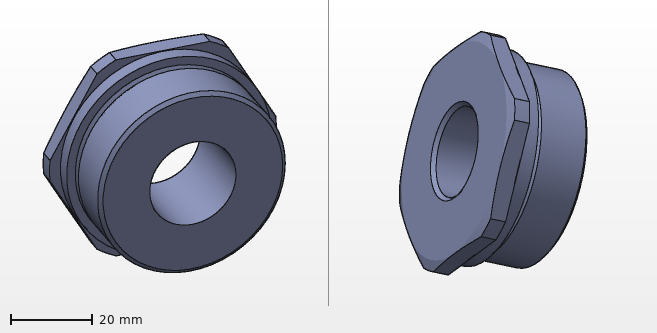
import cadquery as cq
import math

hex_thickness = 4.95
flange_end = 8.95
groove_start = 9.7
groove_end = 9.8
total_length = 24.3

across_flats = 55.0
across_corners = across_flats / math.cos(math.pi / 6)
corner_diameter = 60.5
face_chamfer_depth = 0.8

flange_radius = 27.35
thread_radius = 25.05
groove_depth = 1.2
groove_radius = thread_radius - groove_depth
end_chamfer_length = 0.9
end_chamfer_depth = 1.1

bore_radius = 11.5
bore_chamfer = 1.0


def revolve_about_x(points):
    """Revolve a closed (x, radius) outline around the X axis."""
    return cq.Workplane("XY").polyline(points).close().revolve(360, (0, 0, 0), (1, 0, 0))


def hexagon_head():
    """Hexagon with flats facing +Z and -Z, rounded corners and a chamfered face."""
    hexagon = (
        cq.Workplane("YZ")
        .polygon(6, across_corners)
        .extrude(hex_thickness)
    )
    turned_envelope = revolve_about_x([
        (0, 0),
        (0, across_flats / 2),
        (face_chamfer_depth, corner_diameter / 2),
        (hex_thickness, corner_diameter / 2),
        (hex_thickness, 0),
    ])
    return hexagon.intersect(turned_envelope)


def turned_body():
    """Flange, relief groove and plain thread cylinder with a chamfered end."""
    return revolve_about_x([
        (hex_thickness, 0),
        (hex_thickness, flange_radius),
        (flange_end, flange_radius),
        (flange_end, thread_radius),
        (groove_start, groove_radius),
        (groove_end, groove_radius),
        (groove_end + groove_depth, thread_radius),
        (total_length - end_chamfer_length, thread_radius),
        (total_length, thread_radius - end_chamfer_depth),
        (total_length, 0),
    ])


def bore():
    """Through bore, chamfered at the hexagon face."""
    return revolve_about_x([
        (0, 0),
        (0, bore_radius + bore_chamfer),
        (bore_chamfer, bore_radius),
        (total_length, bore_radius),
        (total_length, 0),
    ])


result = hexagon_head().union(turned_body()).cut(bore())